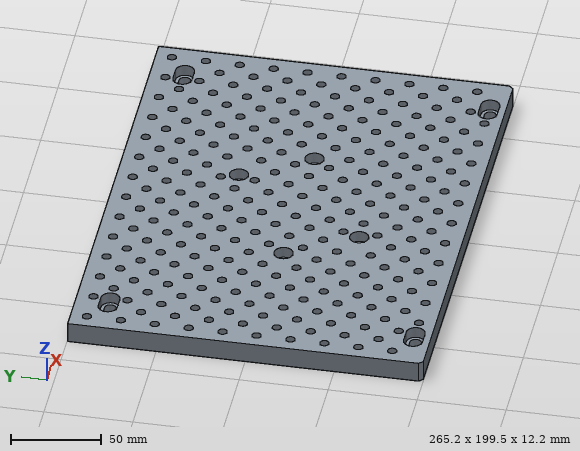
import cadquery as cq

LENGTH = 265.2
WIDTH = 199.5
THICKNESS = 12.2
FRONT_CHAMFER = 2.2
BACK_CHAMFER = 0.4

HOLE_DIAMETER = 5.0
FIELD_LENGTH = 247.7
LONG_ROW_HOLES = 14
ROW_COUNT = 20
PITCH = FIELD_LENGTH / (LONG_ROW_HOLES - 1)
ROW_SPACING = PITCH / 2

SCREW_DIAMETER = 6.5
HEAD_DIAMETER = 10.5
HEAD_DEPTH = 6.5

SCREW_REACH = 45.0
SCREW_MIDDLE_ROW = 10
SCREW_ROW_OFFSET = 4

SLOT_X = 108.7
SLOT_TRAVEL = 7.2
SLOT_ROWS = (1, ROW_COUNT - 1)


def row_y(row):
    """Y of a hole row; row 0 is the one nearest the +Y edge."""
    return ((ROW_COUNT - 1) / 2 - row) * ROW_SPACING


def row_points(row):
    """Hole centres of one row; odd rows have one hole less and start half a pitch inward."""
    count = LONG_ROW_HOLES - row % 2
    return [((i - (count - 1) / 2) * PITCH, row_y(row)) for i in range(count)]


screw_points = [
    (-SCREW_REACH, row_y(SCREW_MIDDLE_ROW)),
    (SCREW_REACH, row_y(SCREW_MIDDLE_ROW)),
    (SCREW_REACH / 2, row_y(SCREW_MIDDLE_ROW - SCREW_ROW_OFFSET)),
    (-SCREW_REACH / 2, row_y(SCREW_MIDDLE_ROW + SCREW_ROW_OFFSET)),
]
slot_points = [(side * SLOT_X, row_y(row)) for side in (-1, 1) for row in SLOT_ROWS]

counterbores = [(point, HEAD_DIAMETER / 2) for point in screw_points]
counterbores += [(point, (SLOT_TRAVEL + HEAD_DIAMETER) / 2) for point in slot_points]


def is_clear(point):
    """True where a field hole does not overlap a counterbore on its own row."""
    x, y = point
    return all(
        abs(y - center_y) > ROW_SPACING / 2 or abs(x - center_x) > half_length + HOLE_DIAMETER / 2
        for (center_x, center_y), half_length in counterbores
    )


field_points = [point for row in range(ROW_COUNT) for point in row_points(row) if is_clear(point)]

plate = (
    cq.Workplane("XY")
    .box(LENGTH, WIDTH, THICKNESS)
    .edges("|Z and <Y")
    .chamfer(FRONT_CHAMFER)
    .edges("|Z and >Y")
    .chamfer(BACK_CHAMFER)
)

top = cq.Workplane("XY", origin=(0, 0, THICKNESS / 2))


def round_cutters(points, diameter, depth):
    """Cylinders reaching down from the top face."""
    return top.pushPoints(points).circle(diameter / 2).extrude(-depth)


def slot_cutters(points, diameter, depth):
    """Slots along X reaching down from the top face."""
    return top.pushPoints(points).slot2D(SLOT_TRAVEL + diameter, diameter).extrude(-depth)


result = plate.cut(round_cutters(field_points, HOLE_DIAMETER, THICKNESS))
for diameter, depth in ((SCREW_DIAMETER, THICKNESS), (HEAD_DIAMETER, HEAD_DEPTH)):
    result = result.cut(round_cutters(screw_points, diameter, depth))
    result = result.cut(slot_cutters(slot_points, diameter, depth))